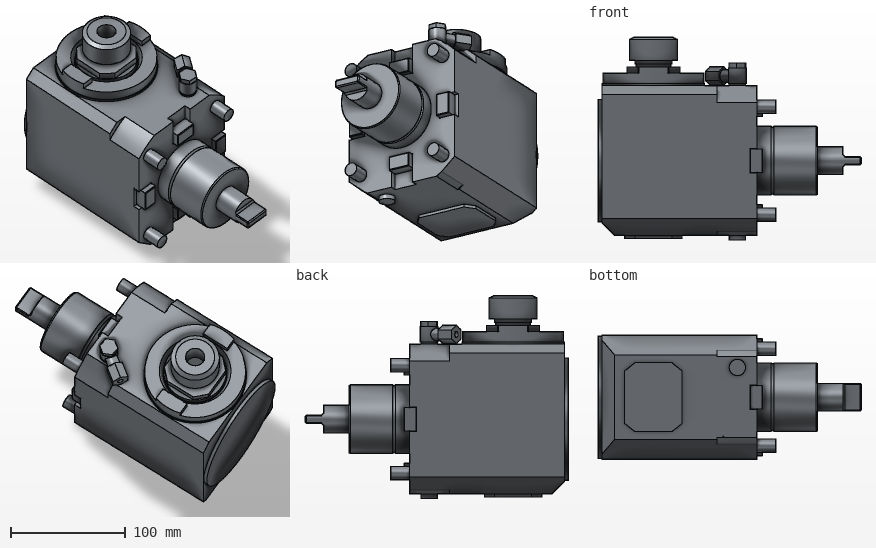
import cadquery as cq


body_left = -45.0
body_right = 90.0
half_width = 54.0
body_top = 65.3
body_bottom = -65.0
top_chamfer_y = 9.0
top_chamfer_z = 7.5
bottom_chamfer_y = 17.2
bottom_chamfer_z = 14.7
end_chamfer = 11.0
turned_start = 55.2
turned_radius = 74.0

cover_radius = 53.4
cover_thickness = 3.2

collar_radius = 30.0
groove_start = 102.4
groove_end = 105.1
groove_depth = 1.0
groove_lip_x = 0.7
groove_lip_r = 0.5
collar_end = 142.7
collar_chamfer_x = 1.4
collar_chamfer_r = 0.7
shaft_radius = 12.1
shaft_end = 165.0
tang_end = 181.0
tang_thickness = 7.3
tang_root_chamfer = 1.5
tang_edge_chamfer = 1.1

key_inner = 38.3
key_outer = 51.0
key_width = 20.2
key_start = 84.5
key_end = 95.0
key_chamfer = 0.7
key_gap = 0.7

pin_radius = 6.0
pin_end = 106.5
pin_y = 42.1
pin_z = 47.0

rim_radius = 44.7
rim_top = 67.0
flange_radius = 44.0
flange_top = 76.3
bore_top_radius = 31.2
bore_bottom_radius = 28.0
bore_floor = 71.0
lug_width = 25.2
lug_inner = 31.4
lug_top = 81.5

spindle_radius = 27.3
spindle_top = 75.4
nut_size = 46.3
nut_corner = 9.6
nut_top = lug_top
neck_radius = 15.1
shoulder_radius = 16.3
shoulder_bottom = 84.3
knob_radius = 21.0
knob_bottom = 87.3
knob_top = 107.5
knob_chamfer_r = 4.1
knob_chamfer_z = 2.0
knob_hole_radius = 8.2

post_x = 73.0
post_y = 25.9
foot_radius = 7.0
foot_top = 67.3
post_radius = 7.8
post_top = 80.9
post_head_top = 85.2
post_head_corners = 16.3
nozzle_z = 73.8
nozzle_angle = 144
nozzle_stem_radius = 5.5
nozzle_nut_start = 14.7
nozzle_nut_end = 29.3
nozzle_nut_corners = 16.0
nozzle_bore_radius = 2.5

plate_length = 50.0
plate_width = 60.0
plate_corner_x = 9.0
plate_corner_y = 7.0
plate_bottom = -67.8
plug_bottom = -69.2


def disc(radius, z_low, z_high, x=0, y=0):
    """Cylinder standing along Z."""
    return cq.Workplane("XY", origin=(x, y, z_low)).circle(radius).extrude(z_high - z_low)


def rod(radius, x_low, x_high, y=0, z=0):
    """Cylinder lying along X."""
    return cq.Workplane("YZ", origin=(x_low, y, z)).circle(radius).extrude(x_high - x_low)


def block(x_low, x_high, y_low, y_high, z_low, z_high):
    """Box given by its limits on the three axes."""
    size = (x_high - x_low, y_high - y_low, z_high - z_low)
    return cq.Workplane("XY", origin=(x_low, y_low, z_low)).box(*size, centered=False)


def cut_corner_plate(length, width, corner_x, corner_y, z_low, z_high):
    """Rectangular plate centred on the Z axis with its four upright corners cut off."""
    half_x = length / 2
    half_y = width / 2
    outline = [
        (half_x, half_y - corner_y),
        (half_x - corner_x, half_y),
        (corner_x - half_x, half_y),
        (-half_x, half_y - corner_y),
        (-half_x, corner_y - half_y),
        (corner_x - half_x, -half_y),
        (half_x - corner_x, -half_y),
        (half_x, corner_y - half_y),
    ]
    return cq.Workplane("XY", origin=(0, 0, z_low)).polyline(outline).close().extrude(z_high - z_low)


def housing():
    section = [
        (half_width, body_bottom + bottom_chamfer_z),
        (half_width, body_top - top_chamfer_z),
        (half_width - top_chamfer_y, body_top),
        (top_chamfer_y - half_width, body_top),
        (-half_width, body_top - top_chamfer_z),
        (-half_width, body_bottom + bottom_chamfer_z),
        (bottom_chamfer_y - half_width, body_bottom),
        (half_width - bottom_chamfer_y, body_bottom),
    ]
    prism = cq.Workplane("YZ", origin=(body_left, 0, 0)).polyline(section).close()
    prism = prism.extrude(body_right - body_left)
    prism = prism.faces("<X").edges("<Z").chamfer(end_chamfer)
    rear = block(turned_start, body_right, -half_width, half_width, body_bottom, body_top)
    turned_off = rear.cut(rod(turned_radius, turned_start, body_right))
    return prism.cut(turned_off)


def key_slot():
    """Slot for the upper drive key, open to the top and to the +X face."""
    half = key_width / 2 + key_gap
    return block(key_start - key_gap, body_right, -half, half, key_inner, body_top)


def drive_key():
    half = key_width / 2
    key = block(key_start, key_end, -half, half, key_inner, key_outer)
    return key.faces(">X").edges().chamfer(key_chamfer)


def around_x(shape):
    """The shape repeated at four quarter turns about the driven spindle."""
    ring = shape
    for quarter in range(1, 4):
        ring = ring.union(shape.rotate((0, 0, 0), (1, 0, 0), 90 * quarter))
    return ring


def tang():
    """Flat driving tongue on the shaft end, flared where it leaves the shaft."""
    half_z = tang_thickness / 2
    tongue = block(shaft_end, tang_end, -shaft_radius, shaft_radius, -half_z, half_z)
    tongue = tongue.edges("|X or >X").chamfer(tang_edge_chamfer)
    flare_outline = [
        (shaft_end, half_z + tang_root_chamfer),
        (shaft_end + tang_root_chamfer, half_z),
        (shaft_end + tang_root_chamfer, -half_z),
        (shaft_end, -half_z - tang_root_chamfer),
    ]
    flare = cq.Workplane("XZ").polyline(flare_outline).close().extrude(shaft_radius, both=True)
    shaft_envelope = rod(shaft_radius, shaft_end, tang_end)
    return tongue.union(flare).intersect(shaft_envelope)


def driven_spindle():
    groove_far = groove_end - groove_lip_x
    groove_middle = ((groove_start + groove_far) / 2, collar_radius - groove_depth)
    turned = (
        cq.Workplane("XY")
        .moveTo(body_right, 0)
        .lineTo(body_right, collar_radius)
        .lineTo(groove_start, collar_radius)
        .threePointArc(groove_middle, (groove_far, collar_radius - groove_lip_r))
        .lineTo(groove_end, collar_radius)
        .lineTo(collar_end - collar_chamfer_x, collar_radius)
        .lineTo(collar_end, collar_radius - collar_chamfer_r)
        .lineTo(collar_end, shaft_radius)
        .lineTo(shaft_end, shaft_radius)
        .lineTo(shaft_end, 0)
        .close()
        .revolve(360, (0, 0, 0), (1, 0, 0))
    )
    return turned.union(tang())


def tool_flange():
    flange = disc(rim_radius, body_top, rim_top).union(disc(flange_radius, rim_top, flange_top))
    half = lug_width / 2
    lug = block(-half, half, lug_inner, flange_radius, flange_top, lug_top)
    lugs = lug.union(lug.mirror("XZ")).intersect(disc(flange_radius, flange_top, lug_top))
    bore = cq.Workplane("XY", origin=(0, 0, bore_floor)).circle(bore_bottom_radius)
    bore = bore.workplane(offset=flange_top - bore_floor).circle(bore_top_radius).loft()
    return flange.cut(bore).union(lugs)


def tool_spindle():
    nut = cut_corner_plate(nut_size, nut_size, nut_corner, nut_corner, spindle_top, nut_top)
    profile = [
        (0, bore_floor),
        (spindle_radius, bore_floor),
        (spindle_radius, spindle_top),
        (neck_radius, spindle_top),
        (neck_radius, shoulder_bottom),
        (shoulder_radius, shoulder_bottom),
        (shoulder_radius, knob_bottom),
        (knob_radius, knob_bottom),
        (knob_radius, knob_top - knob_chamfer_z),
        (knob_radius - knob_chamfer_r, knob_top),
        (0, knob_top),
    ]
    turned = cq.Workplane("XZ").polyline(profile).close().revolve(360, (0, 0, 0), (0, 1, 0))
    return turned.union(nut).cut(disc(knob_hole_radius, knob_bottom, knob_top))


def coolant_nozzle():
    foot = disc(foot_radius, body_top, foot_top)
    post = disc(post_radius, foot_top, post_top)
    head = cq.Workplane("XY", origin=(0, 0, post_top)).polygon(6, post_head_corners)
    head = head.extrude(post_head_top - post_top)
    stem = rod(nozzle_stem_radius, 0, nozzle_nut_start, z=nozzle_z)
    nut = cq.Workplane("YZ", origin=(nozzle_nut_start, 0, nozzle_z))
    nut = nut.transformed(rotate=(0, 0, 90)).polygon(6, nozzle_nut_corners)
    nut = nut.extrude(nozzle_nut_end - nozzle_nut_start)
    nut = nut.cut(rod(nozzle_bore_radius, nozzle_nut_start, nozzle_nut_end, z=nozzle_z))
    nozzle = foot.union(post).union(head).union(stem).union(nut)
    return nozzle.rotate((0, 0, 0), (0, 0, 1), nozzle_angle).translate((post_x, post_y, 0))


def bottom_fittings():
    plate = cut_corner_plate(
        plate_length, plate_width, plate_corner_x, plate_corner_y, plate_bottom, body_bottom
    )
    return plate.union(disc(foot_radius, plug_bottom, body_bottom, post_x, -post_y))


result = housing().cut(around_x(key_slot()))
result = result.union(rod(cover_radius, body_left - cover_thickness, body_left))
result = result.union(driven_spindle())
result = result.union(around_x(drive_key()))
for side_y in (-pin_y, pin_y):
    for side_z in (-pin_z, pin_z):
        result = result.union(rod(pin_radius, body_right, pin_end, side_y, side_z))
result = result.union(tool_flange())
result = result.union(tool_spindle())
result = result.union(coolant_nozzle())
result = result.union(bottom_fittings())